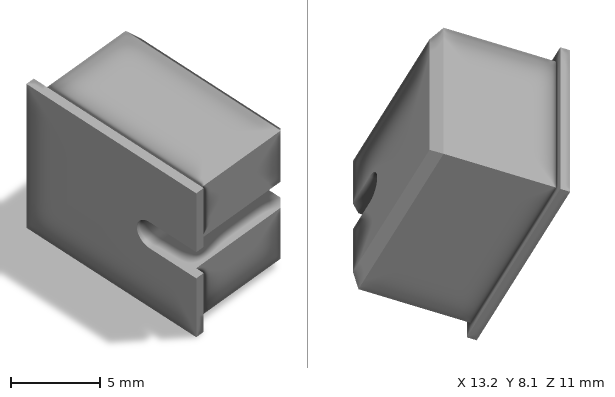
import cadquery as cq

flange_length = 13.15
flange_height = 11.0
flange_thickness = 0.6

total_depth = 8.1
body_side_inset = 0.58
body_top_inset = 0.6
body_chamfer = 0.6
body_length = flange_length - 2 * body_side_inset
body_height = flange_height - 2 * body_top_inset

slot_width = 2.0
slot_depth = 4.6


def make_block(length, depth, height):
    """Block centred on X and Z with its front face at Y = 0."""
    return cq.Workplane("XY").box(length, depth, height, centered=(True, False, True))


def make_slot():
    radius = slot_width / 2
    open_end = flange_length / 2
    arc_centre = open_end - slot_depth + radius
    return (
        cq.Workplane("XZ")
        .moveTo(open_end, -radius)
        .lineTo(arc_centre, -radius)
        .threePointArc((arc_centre - radius, 0), (arc_centre, radius))
        .lineTo(open_end, radius)
        .close()
        .extrude(-total_depth)
    )


flange = make_block(flange_length, flange_thickness, flange_height)
body = make_block(body_length, total_depth, body_height).faces(">Y").edges().chamfer(body_chamfer)
result = flange.union(body).cut(make_slot())